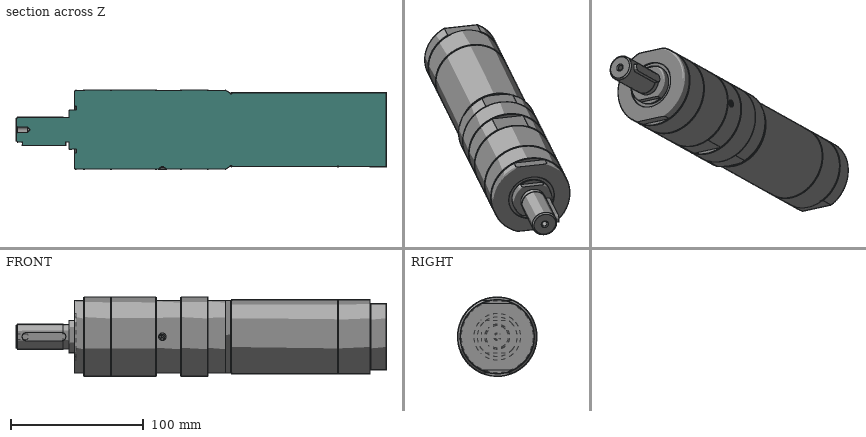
import cadquery as cq

length = 278.7

shaft_dia = 19.0
shaft_neck_dia = 18.7
shaft_neck_start = 35.5
shaft_chamfer = 1.0
center_hole_dia = 4.0
center_hole_mouth_dia = 5.5
center_hole_depth = 8.5

key_start = 4.5
key_length = 33.0
key_width = 6.0
key_bottom = 6.0
key_top = 12.0

collar_dia = 29.8
collar_start = 39.5
collar_edge_radius = 1.0
collar_across_flats = 24.5
recess_dia = 35.0
recess_depth = 1.5

gearbox_dia = 60.0
gearbox_start = 43.8
gearbox_end = 161.5
gearbox_edge_radius = 1.5
gearbox_taper_start = 157.7
gearbox_end_dia = 55.2
gearbox_across_flats = 55.0
front_flat_end = 50.7
middle_flat_start = 105.5
middle_flat_end = 123.7
rear_flat_start = 144.5

motor_dia = 56.0
motor_start = 162.2
motor_across_flats = 50.0
motor_flat_start = 266.5

groove_width = 0.8
groove_depth = 0.3
gearbox_grooves = (front_flat_end, 71.0, middle_flat_start - groove_width, middle_flat_end)
motor_grooves = (242.0, motor_flat_start)

seam_width = 0.3
seam_depth = 0.15

joint_dia = 54.0

screw_x = 110.0
screw_hole_dia = 5.5
screw_socket_dia = 3.5
screw_head_depth = 0.5
screw_socket_depth = 1.5
screw_tip_dia = 1.55
screw_tip_depth = 2.2


def cylinder(start, end, diameter):
    return cq.Workplane("YZ").workplane(offset=start).circle(diameter / 2).extrude(end - start)


def cut_groove(body, start, width, diameter, depth):
    """Cut a groove all around a round body of the given diameter."""
    outer = cylinder(start, start + width, diameter)
    core = cylinder(start, start + width, diameter - 2 * depth)
    return body.cut(outer.cut(core))


def cut_flats(body, start, end, across_flats):
    """Cut a pair of flats, square to Z, between two places along X."""
    span = gearbox_dia
    slab = cq.Workplane("XY").box(end - start, span, span).translate(((start + end) / 2, 0, 0))
    for side in (1, -1):
        body = body.cut(slab.translate((0, 0, side * (across_flats + span) / 2)))
    return body


def make_shaft():
    main = cylinder(0, shaft_neck_start, shaft_dia).faces("<X").chamfer(shaft_chamfer)
    shaft = main.union(cylinder(shaft_neck_start, gearbox_start + recess_depth, shaft_neck_dia))
    mouth_depth = (center_hole_mouth_dia - center_hole_dia) / 2
    drill = (
        cq.Workplane("XY")
        .polyline([
            (0, 0),
            (0, center_hole_mouth_dia / 2),
            (mouth_depth, center_hole_dia / 2),
            (center_hole_depth, center_hole_dia / 2),
            (center_hole_depth + center_hole_dia / 2, 0),
        ])
        .close()
        .revolve(360, (0, 0, 0), (1, 0, 0))
    )
    return shaft.cut(drill)


def make_key():
    return (
        cq.Workplane("XZ")
        .workplane(offset=key_bottom)
        .center(key_start + key_length / 2, 0)
        .slot2D(key_length, key_width)
        .extrude(key_top - key_bottom)
    )


def make_collar():
    end = gearbox_start + recess_depth
    collar = cylinder(collar_start, end, collar_dia).faces("<X").fillet(collar_edge_radius)
    return cut_flats(collar, collar_start, gearbox_start, collar_across_flats)


def make_gearbox():
    radius = gearbox_dia / 2
    edge = gearbox_edge_radius
    gearbox = (
        cq.Workplane("XY")
        .moveTo(gearbox_start, 0)
        .lineTo(gearbox_start, radius - edge)
        .radiusArc((gearbox_start + edge, radius), edge)
        .lineTo(gearbox_taper_start, radius)
        .lineTo(gearbox_end, gearbox_end_dia / 2)
        .lineTo(gearbox_end, 0)
        .close()
        .revolve(360, (0, 0, 0), (1, 0, 0))
    )
    gearbox = gearbox.cut(cylinder(gearbox_start, gearbox_start + recess_depth, recess_dia))
    for start in gearbox_grooves:
        gearbox = cut_groove(gearbox, start, groove_width, gearbox_dia, groove_depth)
    gearbox = cut_groove(gearbox, rear_flat_start - seam_width, seam_width, gearbox_dia, seam_depth)
    gearbox = cut_flats(gearbox, gearbox_start, front_flat_end, gearbox_across_flats)
    gearbox = cut_flats(gearbox, middle_flat_start, middle_flat_end, gearbox_across_flats)
    gearbox = cut_flats(gearbox, rear_flat_start, gearbox_end, gearbox_across_flats)
    return gearbox


def make_motor():
    motor = cylinder(motor_start, length, motor_dia)
    for start in motor_grooves:
        motor = cut_groove(motor, start, groove_width, motor_dia, groove_depth)
    return cut_flats(motor, motor_flat_start, length, motor_across_flats)


def cut_set_screw(body):
    surface = cq.Workplane("XZ", origin=(screw_x, -gearbox_dia / 2, 0))
    for diameter, depth in (
        (screw_hole_dia, screw_head_depth),
        (screw_socket_dia, screw_socket_depth),
        (screw_tip_dia, screw_tip_depth),
    ):
        body = body.cut(surface.circle(diameter / 2).extrude(-depth))
    return body


housing = cut_set_screw(make_gearbox()).union(make_motor())
housing = housing.union(cylinder(gearbox_end, motor_start, joint_dia))
result = housing.union(make_collar()).union(make_shaft()).union(make_key())